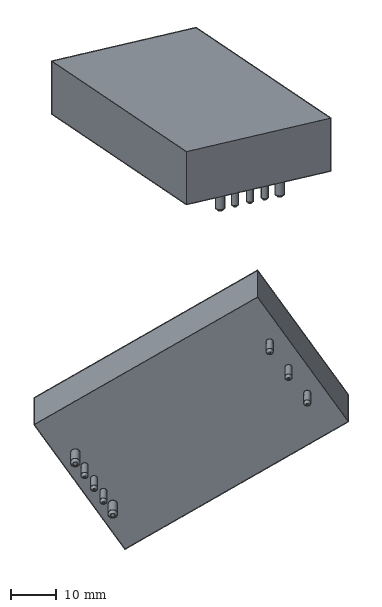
import cadquery as cq

length = 58.4
width = 36.8
block_height = 12.7
total_height = 17.75
pin_length = total_height - block_height

pin_pitch = 3.8
row_offset = 25.4
thin_diameter = 1.6
thick_diameter = 2.1
tip_chamfer = 0.6
input_steps = (-2, 0, 2)
signal_steps = (-1, 0, 1)
power_steps = (-2, 2)


def pin_row(x, steps, diameter):
    """Pins at multiples of the pitch, chamfered at their lower tips."""
    places = [(x, step * pin_pitch) for step in steps]
    return (
        cq.Workplane("XY")
        .pushPoints(places)
        .circle(diameter / 2)
        .extrude(-pin_length)
        .faces("<Z")
        .chamfer(tip_chamfer)
    )


block = cq.Workplane("XY").box(length, width, block_height, centered=(True, True, False))
input_pins = pin_row(-row_offset, input_steps, thin_diameter)
signal_pins = pin_row(row_offset, signal_steps, thin_diameter)
power_pins = pin_row(row_offset, power_steps, thick_diameter)
result = block.union(input_pins).union(signal_pins).union(power_pins)